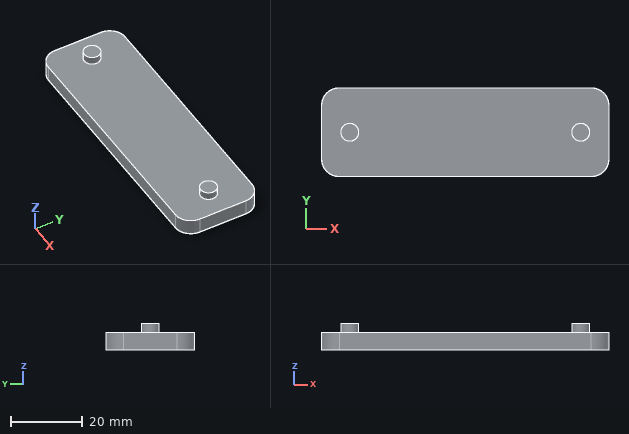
import cadquery as cq

plate_length = 81.0
plate_width = 25.0
plate_thickness = 5.0
corner_radius = 5.0

pin_diameter = 5.0
pin_height = 2.5
pin_spacing = 65.05

plate = (
    cq.Workplane("XY")
    .box(plate_length, plate_width, plate_thickness, centered=(True, True, False))
    .edges("|Z")
    .fillet(corner_radius)
)

pins = (
    cq.Workplane("XY", origin=(0, 0, plate_thickness))
    .pushPoints([(-pin_spacing / 2, 0), (pin_spacing / 2, 0)])
    .circle(pin_diameter / 2)
    .extrude(pin_height)
)

result = plate.union(pins)